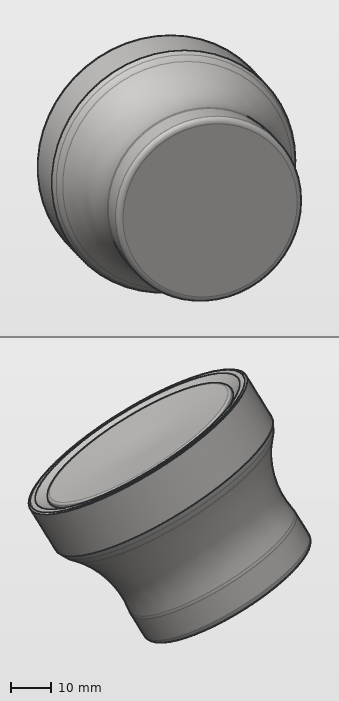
import cadquery as cq
import math


length = 45.0
rim_radius = 31.5
rim_edge_radius = 30.9
rim_chamfer_length = 0.2
rim_length = 12.85
shoulder_end = 14.2
shoulder_angle = math.radians(26)
waist_start = 15.9
waist_end = 36.2
waist_x = 32.1
waist_radius = 23.6
waist_arc_radius = 24.8
tail_start = 37.0
tail_radius = 24.0
tail_fillet = 1.5

funnel_mouth_radius = 29.5
funnel_angle = math.radians(30)

disc_front = 0.45
disc_face_radius = 25.75
dish_depth = 1.4
front_rounding = 0.8
disc_side_length = 0.3
disc_side_angle = math.radians(25)
dish_angle = math.atan2(dish_depth, disc_face_radius)


def arc_point(center, radius, angle):
    """Point on an arc whose normal leans by angle from the radial direction towards +X."""
    return (center[0] + radius * math.sin(angle), center[1] + radius * math.cos(angle))


def waist_profile_radius(x):
    """Radius of the housing on the concave waist arc at position x."""
    return waist_radius + waist_arc_radius - math.sqrt(waist_arc_radius**2 - (x - waist_x) ** 2)


def revolve_about_x(profile):
    return profile.close().revolve(360, (0, 0, 0), (1, 0, 0))


front_normal = -math.pi / 2 - dish_angle
side_normal = -disc_side_angle
seat_normal = math.pi / 2 - funnel_angle
back_normal = math.pi / 2 - dish_angle

front_edge = (disc_front, disc_face_radius)
front_center = (
    disc_front - front_rounding * math.sin(front_normal),
    disc_face_radius - front_rounding * math.cos(front_normal),
)
front_middle = arc_point(front_center, front_rounding, (front_normal + side_normal) / 2)
side_front = arc_point(front_center, front_rounding, side_normal)
side_back = (
    side_front[0] + disc_side_length,
    side_front[1] + disc_side_length * math.tan(disc_side_angle),
)

funnel_clearance = (
    (funnel_mouth_radius - side_back[1]) * math.tan(funnel_angle) - side_back[0]
) * math.cos(funnel_angle)
back_rounding = funnel_clearance / (1 - math.cos(seat_normal - side_normal))
back_center = (
    side_back[0] - back_rounding * math.sin(side_normal),
    side_back[1] - back_rounding * math.cos(side_normal),
)
seat_edge = arc_point(back_center, back_rounding, seat_normal)
seat_middle = arc_point(back_center, back_rounding, (seat_normal + back_normal) / 2)
back_edge = arc_point(back_center, back_rounding, back_normal)
back_apex = (back_edge[0] + back_edge[1] * math.tan(dish_angle), 0)


def make_housing():
    shoulder_radius = rim_radius - (shoulder_end - rim_length) * math.tan(shoulder_angle)
    profile = (
        cq.Workplane("XY")
        .moveTo(*back_apex)
        .lineTo(*back_edge)
        .threePointArc(seat_middle, seat_edge)
        .lineTo(0, funnel_mouth_radius)
        .lineTo(0, rim_edge_radius)
        .lineTo(rim_chamfer_length, rim_radius)
        .lineTo(rim_length, rim_radius)
        .lineTo(shoulder_end, shoulder_radius)
        .tangentArcPoint((waist_start, waist_profile_radius(waist_start)), relative=False)
        .threePointArc((waist_x, waist_radius), (waist_end, waist_profile_radius(waist_end)))
        .tangentArcPoint((tail_start, tail_radius), relative=False)
        .lineTo(length - tail_fillet, tail_radius)
        .radiusArc((length, tail_radius - tail_fillet), tail_fillet)
        .lineTo(length, 0)
    )
    return revolve_about_x(profile)


def make_disc():
    back_middle = arc_point(back_center, back_rounding, (side_normal + seat_normal) / 2)
    profile = (
        cq.Workplane("XY")
        .moveTo(disc_front + dish_depth, 0)
        .lineTo(*front_edge)
        .threePointArc(front_middle, side_front)
        .lineTo(*side_back)
        .threePointArc(back_middle, seat_edge)
        .threePointArc(seat_middle, back_edge)
        .lineTo(*back_apex)
    )
    return revolve_about_x(profile)


housing = make_housing()
disc = make_disc()
result = cq.Compound.makeCompound([housing.val(), disc.val()])